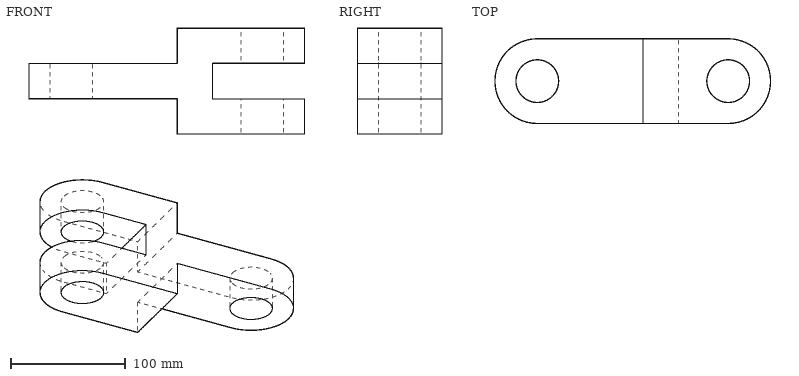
import cadquery as cq

length = 240.9
width = 74.2
height = 92.7
layer = height / 3
end_radius = width / 2
hole_diameter = width / 2
fork_length = 111.3
fork_back_wall = layer

hole_x = length / 2 - end_radius
shoulder_x = length / 2 - fork_length
slot_x = shoulder_x + fork_back_wall


def block(start_x, end_x, thickness):
    """Full-width block between two X positions, centred on the XY plane."""
    return (
        cq.Workplane("XY")
        .box(end_x - start_x, width, thickness)
        .translate(((start_x + end_x) / 2, 0, 0))
    )


def rounded_bar():
    """Full-height bar with round ends and a pin hole at each end."""
    return (
        cq.Workplane("XY")
        .slot2D(length, width)
        .pushPoints([(-hole_x, 0), (hole_x, 0)])
        .circle(hole_diameter / 2)
        .extrude(height / 2, both=True)
    )


tongue = block(-length / 2, shoulder_x, layer)
fork = block(shoulder_x, length / 2, height)
slot = block(slot_x, length / 2, layer)
side_profile = tongue.union(fork).cut(slot)

result = rounded_bar().intersect(side_profile)